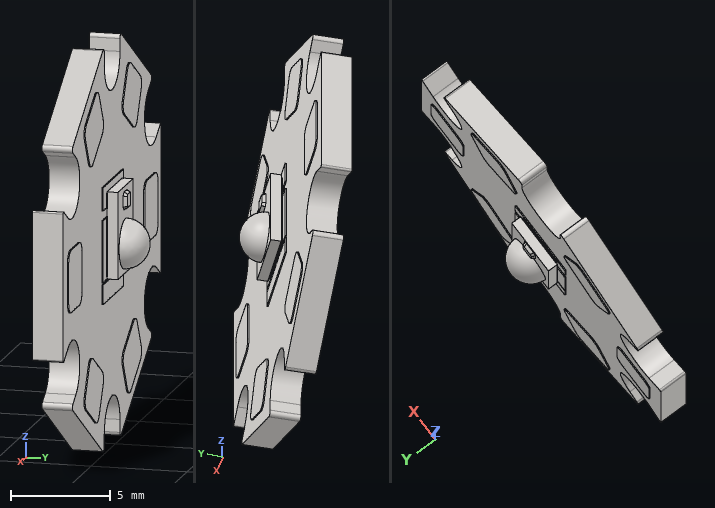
import cadquery as cq
import math

BOARD_WIDTH = 20.12
SLANTED_SIDE_SPAN = 19.91
BOARD_THICKNESS = 1.6
SLANTED_SIDE_ANGLES = [60, 120]
SIDES = 6
SIDE_STEP = 360 / SIDES

NOTCH_RADIUS = 1.6
NOTCH_CENTRE_DISTANCE = 9.55
NOTCH_ANGLES = [SIDE_STEP * (i + 0.5) for i in range(SIDES)]
UPRIGHT_SIDE_FILLET = 0.08
SLANTED_SIDE_FILLET = 0.2

COPPER_THICKNESS = 0.06
SOLDER_PAD_INNER = 6.45
SOLDER_PAD_OUTER = 9.17
SOLDER_PAD_LENGTH = 3.25
SOLDER_PAD_CORNER = 0.55
LAND_WIDTH = 4.17
THERMAL_LAND_Z = (-1.6, 1.62)
ELECTRODE_LAND_Z = (2.12, 3.33)
MARK_LAND_Z = (-2.73, -1.7)

LED_WIDTH = 3.08
LED_BOTTOM_Z = -1.52
LED_TOP_Z = 3.0
LED_BASE_THICKNESS = 0.56
CONTACT_THICKNESS = 0.06
CONTACT_INSET = 0.1
TOTAL_DEPTH = 3.55
DOME_RADIUS = 1.3
CHIP_CENTRE_Z = 2.27
CHIP_SIZE = 0.92
CHIP_CORNER = 0.17
CHIP_HEIGHT = 0.19
CHIP_TAPER = 30

COPPER_TOP = BOARD_THICKNESS + COPPER_THICKNESS
LED_BASE_BOTTOM = COPPER_TOP + CONTACT_THICKNESS
LED_BASE_TOP = LED_BASE_BOTTOM + LED_BASE_THICKNESS


def back_plane(y):
    """XZ work plane at depth y that extrudes toward +Y; its local axes are X and -Z."""
    return cq.Workplane(cq.Plane(origin=(0, y, 0), xDir=(1, 0, 0), normal=(0, 1, 0)))


def turned(shape, angle):
    """The shape rotated about the board axis, from +X toward +Z."""
    return shape.rotate((0, 0, 0), (0, 1, 0), -angle)


def hexagon_plate():
    """Upright slab trimmed by two slanted slabs."""
    slab_length = 2 * BOARD_WIDTH
    plate = back_plane(0).rect(BOARD_WIDTH, slab_length).extrude(BOARD_THICKNESS)
    slanted_slab = back_plane(0).rect(SLANTED_SIDE_SPAN, slab_length).extrude(BOARD_THICKNESS)
    for angle in SLANTED_SIDE_ANGLES:
        plate = plate.intersect(turned(slanted_slab, angle))
    return plate


def notch():
    """Round-ended slot along +X that opens past the hexagon corner."""
    end = back_plane(0).center(NOTCH_CENTRE_DISTANCE, 0).circle(NOTCH_RADIUS).extrude(BOARD_THICKNESS)
    mouth = (
        back_plane(0)
        .center(NOTCH_CENTRE_DISTANCE + NOTCH_RADIUS, 0)
        .rect(2 * NOTCH_RADIUS, 2 * NOTCH_RADIUS)
        .extrude(BOARD_THICKNESS)
    )
    return end.union(mouth)


def is_tip(edge):
    """True for the sharp edges beside the notch mouths, the only ones outside the inscribed circle."""
    centre = edge.Center()
    return math.hypot(centre.x, centre.z) > BOARD_WIDTH / 2 + UPRIGHT_SIDE_FILLET


def is_upright_side_tip(edge):
    return is_tip(edge) and abs(edge.Center().x) > BOARD_WIDTH / 2 - UPRIGHT_SIDE_FILLET


def is_slanted_side_tip(edge):
    return is_tip(edge) and not is_upright_side_tip(edge)


def solder_pad():
    return (
        back_plane(BOARD_THICKNESS)
        .center((SOLDER_PAD_INNER + SOLDER_PAD_OUTER) / 2, 0)
        .rect(SOLDER_PAD_OUTER - SOLDER_PAD_INNER, SOLDER_PAD_LENGTH)
        .extrude(COPPER_THICKNESS)
        .edges("|Y")
        .fillet(SOLDER_PAD_CORNER)
    )


def bar(width, bottom_z, top_z, start_y, thickness):
    """Rectangular block centred on X = 0 that rises from start_y toward +Y."""
    return (
        back_plane(start_y)
        .center(0, -(bottom_z + top_z) / 2)
        .rect(width, top_z - bottom_z)
        .extrude(thickness)
    )


def build_board():
    board = hexagon_plate()
    for angle in NOTCH_ANGLES:
        board = board.cut(turned(notch(), angle))
    board = board.edges("|Y").filter(is_slanted_side_tip).fillet(SLANTED_SIDE_FILLET)
    board = board.edges("|Y").filter(is_upright_side_tip).fillet(UPRIGHT_SIDE_FILLET)
    for side in range(SIDES):
        board = board.union(turned(solder_pad(), SIDE_STEP * side))
    for bottom_z, top_z in [MARK_LAND_Z, THERMAL_LAND_Z, ELECTRODE_LAND_Z]:
        board = board.union(bar(LAND_WIDTH, bottom_z, top_z, BOARD_THICKNESS, COPPER_THICKNESS))
    return board


def dome():
    """Spherical cap on the LED base, turned about the board axis."""
    centre_y = TOTAL_DEPTH - DOME_RADIUS
    rim_radius = math.sqrt(DOME_RADIUS**2 - (LED_BASE_TOP - centre_y) ** 2)
    slope_step = DOME_RADIUS * math.sqrt(0.5)
    return (
        cq.Workplane("XY")
        .moveTo(0, LED_BASE_TOP)
        .lineTo(rim_radius, LED_BASE_TOP)
        .threePointArc((slope_step, centre_y + slope_step), (0, TOTAL_DEPTH))
        .close()
        .revolve(360, (0, 0, 0), (0, 1, 0))
    )


def chip():
    """Tapered square block with cut corners."""
    outline = cq.Sketch().rect(CHIP_SIZE, CHIP_SIZE).vertices().chamfer(CHIP_CORNER)
    return (
        back_plane(LED_BASE_TOP)
        .center(0, -CHIP_CENTRE_Z)
        .placeSketch(outline)
        .extrude(CHIP_HEIGHT, taper=CHIP_TAPER)
    )


def contacts():
    """Thermal and electrode contacts under the LED base, each lying on its copper land."""
    width = LED_WIDTH - 2 * CONTACT_INSET
    thermal_bottom_z = LED_BOTTOM_Z + CONTACT_INSET
    electrode_top_z = LED_TOP_Z - CONTACT_INSET
    thermal = bar(width, thermal_bottom_z, THERMAL_LAND_Z[1], COPPER_TOP, CONTACT_THICKNESS)
    electrode = bar(width, ELECTRODE_LAND_Z[0], electrode_top_z, COPPER_TOP, CONTACT_THICKNESS)
    return thermal.union(electrode)


def build_led():
    base = bar(LED_WIDTH, LED_BOTTOM_Z, LED_TOP_Z, LED_BASE_BOTTOM, LED_BASE_THICKNESS)
    return base.union(contacts()).union(dome()).union(chip())


board = build_board()
led = build_led()
result = cq.Compound.makeCompound([board.solids().val(), led.solids().val()])